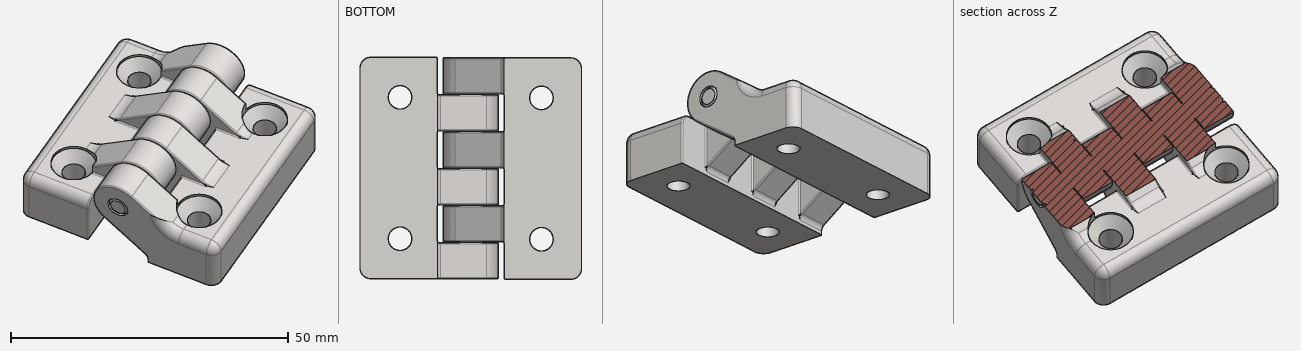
import math

import cadquery as cq

LEAF_LENGTH = 40.0
LEAF_OUTER_X = 20.0
LEAF_INNER_X = 6.0
LEAF_THICKNESS = 10.0
CORNER_RADIUS = 2.0
EDGE_RADIUS = 0.25

AXIS_HEIGHT = 11.5
BARREL_RADIUS = 5.0
ARM_ANGLE = math.radians(34.0)
TOP_BLEND_RADIUS = 4.0
BOTTOM_BLEND_RADIUS = 1.25
KNUCKLES_PER_LEAF = 3
KNUCKLE_GAP = 0.1
KNUCKLE_PITCH = LEAF_LENGTH / (2 * KNUCKLES_PER_LEAF)
KNUCKLE_WIDTH = KNUCKLE_PITCH - KNUCKLE_GAP

LEAF_END_Y = (LEAF_LENGTH - KNUCKLE_GAP) / 2
LEAF_CENTER_Y = LEAF_END_Y - LEAF_LENGTH / 2

PIN_DIAMETER = 4.0
PIN_CHAMFER = 0.5
PIN_LENGTH = 2 * LEAF_END_Y

HOLE_DIAMETER = 4.2
HEAD_DIAMETER = 8.2
HEAD_RECESS = 0.5
CONE_DEPTH = (HEAD_DIAMETER - HOLE_DIAMETER) / 2
HOLE_X = 12.75
HOLE_SPACING_Y = 25.5

SIN_ARM = math.sin(ARM_ANGLE)
COS_ARM = math.cos(ARM_ANGLE)
TOP_BLEND_X = -(
    BARREL_RADIUS + (AXIS_HEIGHT - LEAF_THICKNESS) * COS_ARM
) / SIN_ARM - TOP_BLEND_RADIUS * math.tan(ARM_ANGLE / 2)
TOP_BLEND_Z = LEAF_THICKNESS + TOP_BLEND_RADIUS
BOTTOM_BLEND_X = -LEAF_INNER_X + BOTTOM_BLEND_RADIUS
BOTTOM_BLEND_Z = (
    AXIS_HEIGHT
    + (BOTTOM_BLEND_X * SIN_ARM - BARREL_RADIUS - BOTTOM_BLEND_RADIUS) / COS_ARM
)


def point_on_circle(center_x, center_z, radius, angle):
    return center_x + radius * math.cos(angle), center_z + radius * math.sin(angle)


def make_plate():
    """Flat plate with a rounded rim and a finely rounded inner edge."""
    width = LEAF_OUTER_X - LEAF_INNER_X
    plate = (
        cq.Workplane("XY")
        .center(-(LEAF_OUTER_X + LEAF_INNER_X) / 2, LEAF_CENTER_Y)
        .rect(width, LEAF_LENGTH)
        .extrude(LEAF_THICKNESS)
    )
    plate = plate.edges("|Z and <X").fillet(CORNER_RADIUS)
    plate = plate.faces(">Z").edges("not >X").fillet(CORNER_RADIUS)
    return plate.faces(">X").edges("not <Z").fillet(EDGE_RADIUS)


def make_knuckle(y_max):
    """Barrel with its sloping arm, blended into the plate; sides finely rounded."""
    upper_normal = math.pi / 2 + ARM_ANGLE
    lower_normal = upper_normal + math.pi

    def barrel(angle):
        return point_on_circle(0, AXIS_HEIGHT, BARREL_RADIUS, angle)

    def top_blend(angle):
        return point_on_circle(TOP_BLEND_X, TOP_BLEND_Z, TOP_BLEND_RADIUS, angle)

    def bottom_blend(angle):
        return point_on_circle(BOTTOM_BLEND_X, BOTTOM_BLEND_Z, BOTTOM_BLEND_RADIUS, angle)

    blend_start = 1.5 * math.pi
    blend_end = blend_start + ARM_ANGLE
    under_start = math.pi / 2 + ARM_ANGLE
    knuckle = (
        cq.Workplane("XZ", origin=(0, y_max, 0))
        .moveTo(TOP_BLEND_X, 0)
        .lineTo(TOP_BLEND_X, LEAF_THICKNESS)
        .threePointArc(top_blend((blend_start + blend_end) / 2), top_blend(blend_end))
        .lineTo(*barrel(upper_normal))
        .threePointArc(barrel(ARM_ANGLE), barrel(lower_normal))
        .lineTo(*bottom_blend(under_start))
        .threePointArc(bottom_blend((under_start + math.pi) / 2), bottom_blend(math.pi))
        .lineTo(-LEAF_INNER_X, 0)
        .close()
        .extrude(KNUCKLE_WIDTH)
    )
    rounded = knuckle.faces("<Y or >Y").edges("not (<X or <Z)")
    return rounded.fillet(EDGE_RADIUS)


def blend_run(blend_radius):
    """Distance from a blend's tangent point to where it has risen by the edge radius."""
    return math.sqrt(blend_radius**2 - (blend_radius - EDGE_RADIUS) ** 2)


def make_root_fillet(wall_y, side):
    """Concave fillet where a knuckle wall meets the plate's top and inner edge."""
    start_x = TOP_BLEND_X + blend_run(TOP_BLEND_RADIUS)
    end_z = BOTTOM_BLEND_Z + blend_run(BOTTOM_BLEND_RADIUS)
    path = (
        cq.Workplane("XZ", origin=(0, wall_y, 0))
        .moveTo(start_x, LEAF_THICKNESS)
        .lineTo(-LEAF_INNER_X - EDGE_RADIUS, LEAF_THICKNESS)
        .tangentArcPoint((EDGE_RADIUS, -EDGE_RADIUS))
        .lineTo(-LEAF_INNER_X, end_z)
    )
    arc_offset = EDGE_RADIUS * (1 - math.sqrt(0.5))
    section = (
        cq.Workplane("YZ", origin=(start_x, wall_y, LEAF_THICKNESS))
        .lineTo(side * EDGE_RADIUS, 0)
        .threePointArc((side * arc_offset, arc_offset), (0, EDGE_RADIUS))
        .close()
    )
    return section.sweep(path)


def make_end_rounding():
    """Ring-shaped cutter that carries the rim rounding up the end knuckle's arm."""
    outer_radius = TOP_BLEND_RADIUS + CORNER_RADIUS
    inner_y = LEAF_END_Y - CORNER_RADIUS
    mid_offset = CORNER_RADIUS * math.sqrt(0.5)
    section = (
        cq.Workplane("XY", origin=(TOP_BLEND_X, 0, TOP_BLEND_Z))
        .moveTo(TOP_BLEND_RADIUS, inner_y)
        .threePointArc(
            (outer_radius - mid_offset, inner_y + mid_offset),
            (outer_radius, LEAF_END_Y),
        )
        .lineTo(TOP_BLEND_RADIUS, LEAF_END_Y)
        .close()
    )
    return section.revolve(90, (0, 0, 0), (0, 1, 0))


def make_screw_hole(y):
    """Cutter for a countersunk hole, with head clearance through the arm above."""
    seat_z = LEAF_THICKNESS - HEAD_RECESS
    head_top = AXIS_HEIGHT + BARREL_RADIUS
    return (
        cq.Workplane("XZ", origin=(-HOLE_X, y, 0))
        .lineTo(HOLE_DIAMETER / 2, 0)
        .lineTo(HOLE_DIAMETER / 2, seat_z - CONE_DEPTH)
        .lineTo(HEAD_DIAMETER / 2, seat_z)
        .lineTo(HEAD_DIAMETER / 2, head_top)
        .lineTo(0, head_top)
        .close()
        .revolve(360, (0, 0, 0), (0, 1, 0))
    )


def make_leaf():
    leaf = make_plate()
    for index in range(KNUCKLES_PER_LEAF):
        y_max = LEAF_END_Y - 2 * index * KNUCKLE_PITCH
        leaf = leaf.union(make_knuckle(y_max))
        leaf = leaf.union(make_root_fillet(y_max - KNUCKLE_WIDTH, -1))
        if index > 0:
            leaf = leaf.union(make_root_fillet(y_max, 1))
    leaf = leaf.cut(make_end_rounding())
    for side in (-1, 1):
        leaf = leaf.cut(make_screw_hole(LEAF_CENTER_Y + side * HOLE_SPACING_Y / 2))
    return leaf


def cut_pin_hole(leaf):
    hole = cq.Workplane("XZ", origin=(0, PIN_LENGTH / 2, AXIS_HEIGHT))
    return leaf.cut(hole.circle(PIN_DIAMETER / 2).extrude(PIN_LENGTH))


def make_pin():
    pin = cq.Workplane("XZ", origin=(0, PIN_LENGTH / 2, AXIS_HEIGHT))
    pin = pin.circle(PIN_DIAMETER / 2).extrude(PIN_LENGTH)
    return pin.faces("<Y or >Y").chamfer(PIN_CHAMFER)


left_leaf = cut_pin_hole(make_leaf())
right_leaf = left_leaf.rotate((0, 0, 0), (0, 0, 1), 180)
result = left_leaf.union(make_pin()).union(right_leaf)